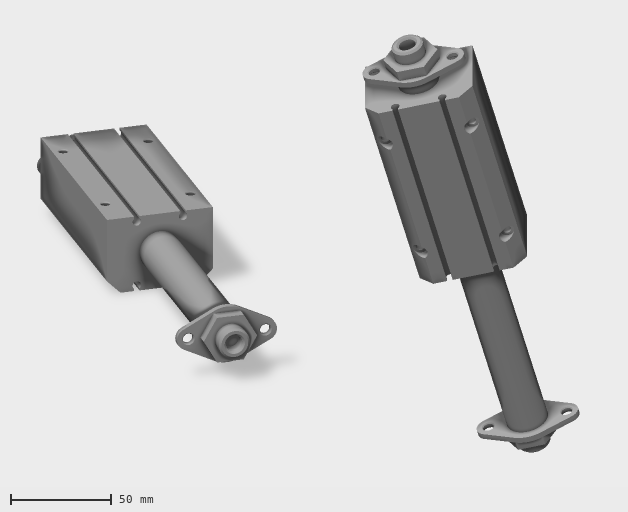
import cadquery as cq
import math

rod_length = 258.0

block_length = 110.0
block_width = 55.0
block_height = 40.0
block_start = 24.0
bottom_chamfer = 7.0

groove_spacing = 24.0
groove_neck_width = 2.8
groove_round_diameter = 4.5
groove_round_depth = 2.8

mount_spacing_x = 70.0
mount_spacing_y = 44.0
mount_hole_diameter = 4.5
mount_hole_chamfer = 0.5
counterbore_diameter = 7.5
counterbore_depth = 5.7

tube_diameter = 21.2
thread_diameter = 16.0
thread_length = 7.2
thread_chamfer = 1.0
port_diameter = 8.5
port_depth = 7.2
port_countersink = 1.0
nut_across_flats = 24.0
nut_thickness = 5.7
flange_thickness = 3.0
flange_height = 30.0
flange_hole_spacing = 40.0
flange_hole_diameter = 5.5
flange_hole_chamfer = 0.5
flange_end_radius = 6.0

end_stack = thread_length + nut_thickness + flange_thickness


def make_carriage():
    """Block with chamfered lower edges, keyhole grooves, mounting holes and a bore for the rod."""
    block = (
        cq.Workplane("XY")
        .box(block_length, block_width, block_height)
        .edges("|X and <Z")
        .chamfer(bottom_chamfer)
    )
    for y in (-groove_spacing / 2, groove_spacing / 2):
        for side in (-1, 1):
            block = block.cut(groove_cutter(y, side))
    block = (
        block.faces("<Z")
        .workplane(centerOption="CenterOfBoundBox")
        .rarray(mount_spacing_x, mount_spacing_y, 2, 2)
        .cboreHole(mount_hole_diameter, counterbore_diameter, counterbore_depth)
    )
    block = block.faces(">Z").edges("%CIRCLE").chamfer(mount_hole_chamfer)
    bore = cq.Workplane("YZ").circle(tube_diameter / 2).extrude(block_length / 2, both=True)
    return block.cut(bore).translate((block_start + block_length / 2, 0, 0))


def groove_cutter(y, side):
    """Full-length keyhole groove: a narrow neck that opens into a round channel."""
    surface = side * block_height / 2
    channel = surface - side * groove_round_depth
    half_length = block_length / 2
    neck = (
        cq.Workplane("YZ")
        .center(y, (surface + channel) / 2)
        .rect(groove_neck_width, groove_round_depth)
        .extrude(half_length, both=True)
    )
    round_channel = (
        cq.Workplane("YZ")
        .center(y, channel)
        .circle(groove_round_diameter / 2)
        .extrude(half_length, both=True)
    )
    return neck.union(round_channel)


def flange_plate():
    """Two-hole oval plate with tangent sides; both mouths of each hole are chamfered."""
    centre_radius = flange_height / 2
    end_offset = flange_hole_spacing / 2
    tangent_sine = (centre_radius - flange_end_radius) / end_offset
    tangent_cosine = math.sqrt(1 - tangent_sine**2)
    inner_y = centre_radius * tangent_sine
    inner_z = centre_radius * tangent_cosine
    outer_y = end_offset + flange_end_radius * tangent_sine
    outer_z = flange_end_radius * tangent_cosine
    tip_y = end_offset + flange_end_radius
    return (
        cq.Workplane("YZ")
        .moveTo(-inner_y, inner_z)
        .threePointArc((0, centre_radius), (inner_y, inner_z))
        .lineTo(outer_y, outer_z)
        .threePointArc((tip_y, 0), (outer_y, -outer_z))
        .lineTo(inner_y, -inner_z)
        .threePointArc((0, -centre_radius), (-inner_y, -inner_z))
        .lineTo(-outer_y, -outer_z)
        .threePointArc((-tip_y, 0), (-outer_y, outer_z))
        .close()
        .pushPoints([(-end_offset, 0), (end_offset, 0)])
        .circle(flange_hole_diameter / 2)
        .extrude(flange_thickness)
        .faces("|X")
        .edges("%CIRCLE")
        .edges(cq.selectors.RadiusNthSelector(0))
        .chamfer(flange_hole_chamfer)
    )


def end_fitting():
    """Threaded end with an air port, then the nut and the flange, stacked along +X from X = 0."""
    thread = (
        cq.Workplane("YZ")
        .circle(thread_diameter / 2)
        .extrude(end_stack)
        .faces("<X")
        .chamfer(thread_chamfer)
    )
    nut = (
        cq.Workplane("YZ")
        .polygon(6, nut_across_flats, circumscribed=True)
        .extrude(nut_thickness)
        .rotate((0, 0, 0), (1, 0, 0), 90)
        .translate((thread_length, 0, 0))
    )
    flange = flange_plate().translate((thread_length + nut_thickness, 0, 0))
    return thread.union(nut).union(flange).cut(port_cutter())


def port_cutter():
    """Blind air port with a countersunk mouth at X = 0, turned about the X axis."""
    port_radius = port_diameter / 2
    mouth_radius = port_radius + port_countersink
    return (
        cq.Workplane("XY")
        .lineTo(0, mouth_radius)
        .lineTo(port_countersink, port_radius)
        .lineTo(port_depth, port_radius)
        .lineTo(port_depth, 0)
        .close()
        .revolve(360, (0, 0, 0), (1, 0, 0))
    )


def make_rod():
    """Tube with the same fitting, mirrored, on each end."""
    tube = (
        cq.Workplane("YZ")
        .circle(tube_diameter / 2)
        .extrude(rod_length - 2 * end_stack)
        .translate((end_stack, 0, 0))
    )
    near_end = end_fitting()
    far_end = near_end.mirror("YZ").translate((rod_length, 0, 0))
    return tube.union(near_end).union(far_end)


carriage = make_carriage()
rod = make_rod()

result = cq.Compound.makeCompound([carriage.val(), rod.val()])